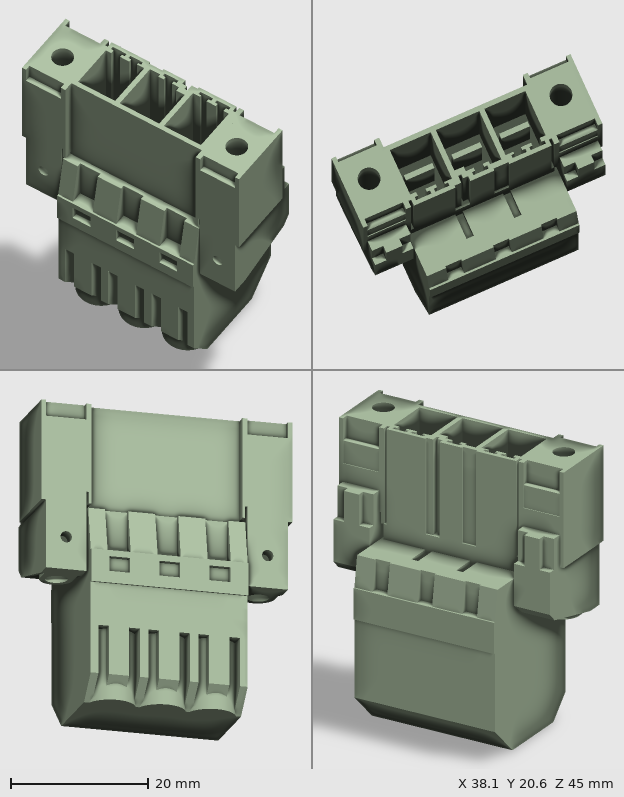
import cadquery as cq

TOTAL_HEIGHT = 45.0
TOTAL_LENGTH = 38.1
POLE_PITCH = 7.6
POLE_CENTRES = [-POLE_PITCH, 0, POLE_PITCH]
SIDES = [-1, 1]

PLUG_LENGTH = 23.85
PLUG_BACK = 7.5
PLUG_FRONT = -12.45
SHOULDER_Z = 27.25
LIP_TOP_Z = 29.1
LIP_TOP_FRONT = -11.2
SHOULDER_TOP_BACK = 6.75
BOTTOM_BACK = 2.55
BOTTOM_FRONT = -9.05
BACK_CHAMFER_Z = 4.8
FRONT_CHAMFER_Z = 3.5
BAND_BOTTOM_Z = 17.4
BAND_TOP_Z = 22.4
BAND_BACK = 7.85
BAND_FRONT = -12.8
FRONT_RECESS_WIDTH = 3.5
FRONT_RECESS_Y = -10.55
BACK_RECESS_WIDTH = 2.5
BACK_RECESS_Y = 6.5
WINDOW_WIDTH = 3.15
WINDOW_BOTTOM_Z = 19.2
WINDOW_TOP_Z = 21.45
WINDOW_DEPTH = 0.9
BARREL_RADIUS = 3.8
BARREL_Y = -7.7
SLOT_INNER = 1.55
SLOT_OUTER = 3.15
SLOT_TOP_Z = 10.9
GROOVE_WIDTH = 1.15
GROOVE_LENGTH = 4.0
GROOVE_DEPTH = 1.35

HEADER_BODY_LENGTH = 22.9
HEADER_BODY_FRONT = -9.75
EAR_FRONT = -11.35
EAR_BOTTOM_Z = 29.75
POCKET_FLOOR_Z = EAR_BOTTOM_Z
POCKET_FRONT = -9.0
COVER_BACK = -10.45
COVER_BOTTOM_Z = 31.5
COVER_TOP_Z = 42.55
CLEARANCE_INNER = 11.9

STEM_HALF = 0.7
HEAD_HALF = 1.2
HEAD_BACK = -0.65
HEAD_FRONT = -1.12
RAIL_FRONT = -1.6
OUTER_POCKET_LEFT = -10.8
OUTER_POCKET_RIGHT = -4.28
OUTER_LEFT_BACK = -1.75
OUTER_RIGHT_BACK = -1.45
LEFT_SLOT_X = -9.15
RIGHT_SLOT_X = -6.15
RIGHT_STEM_HALF = 0.65
RIGHT_HEAD_HALF = 1.12
MIDDLE_POCKET_HALF = 3.45
MIDDLE_STEP_LEFT = -1.65
MIDDLE_STEP_RIGHT = 2.0
MIDDLE_RIGHT_BACK = -2.4

NOTCH_BOTTOM_Z = EAR_BOTTOM_Z
END_NOTCH_X = 11.2
END_NOTCH_WIDTH = 0.45
END_NOTCH_DEPTH = 1.0
SHALLOW_DEPTH = 0.3
SHALLOW_LEFT = -4.25
SHALLOW_RIGHT = -1.85
KEY_RIGHT = 4.35
KEY_HOOK_LEFT = 2.8
KEY_HOOK_RIGHT = 3.3
KEY_DEPTH = 0.8
KEY_HOOK_DEPTH = 1.45

FLANGE_X = 15.3
FLANGE_WIDTH = 6.1
FLANGE_BOTTOM_Z = 19.35
FLANGE_FOOT_BACK = -8.75
FLANGE_SLOPE_BACK = 1.35
FLANGE_SLOPE_TOP_Z = 21.8
FLANGE_BACK = 2.7
FLANGE_BACK_BOTTOM_Z = 23.18
TAB_TOP_Z = 34.88
TONGUE_WIDTH = 2.55
TONGUE_LENGTH = 1.12
TONGUE_BOTTOM_Z = 29.92
STEM_LEDGE_Z = 37.8
STEM_LEDGE_BACK = -0.15
STEM_TOP_BACK = -1.12
STEM_STEP_Z = 41.4
STEM_STEP_RISE = 0.15
SCREW_Y = -6.35
SCREW_HOLE_RADIUS = 1.65
SCREW_BOSS_RADIUS = 2.5
CROSS_HOLE_RADIUS = 0.85
CROSS_HOLE_DEPTH = 2.25
CROSS_HOLE_Z = 24.3

BLADE_WIDTH = 4.55
BLADE_THICKNESS = 0.8
BLADE_Y = -5.7
BLADE_TOP_Z = 38.25


def block(x_range, y_range, z_range):
    """Axis-parallel box between the given limits."""
    (x0, x1), (y0, y1), (z0, z1) = x_range, y_range, z_range
    return cq.Workplane("XY").box(x1 - x0, y1 - y0, z1 - z0, centered=False).translate((x0, y0, z0))


def centred(middle, width):
    """Limits of a stretch of the given width about its middle."""
    return (middle - width / 2, middle + width / 2)


def side_profile(points, x_range):
    """Outline of (Y, Z) points extruded along X."""
    x0, x1 = x_range
    return cq.Workplane("YZ").polyline(points).close().extrude(x1 - x0).translate((x0, 0, 0))


def plan_profile(points, z_range):
    """Outline of (X, Y) points extruded along Z."""
    z0, z1 = z_range
    return cq.Workplane("XY").workplane(offset=z0).polyline(points).close().extrude(z1 - z0)


def make_plug():
    profile = [
        (BOTTOM_BACK, 0),
        (BOTTOM_FRONT, 0),
        (PLUG_FRONT, FRONT_CHAMFER_Z),
        (PLUG_FRONT, BAND_TOP_Z),
        (LIP_TOP_FRONT, LIP_TOP_Z),
        (HEADER_BODY_FRONT, LIP_TOP_Z),
        (HEADER_BODY_FRONT, SHOULDER_Z),
        (SHOULDER_TOP_BACK, SHOULDER_Z),
        (PLUG_BACK, BAND_TOP_Z),
        (PLUG_BACK, BACK_CHAMFER_Z),
    ]
    length = centred(0, PLUG_LENGTH)
    plug = side_profile(profile, length)
    plug = plug.union(block(length, (BAND_FRONT, BAND_BACK), (BAND_BOTTOM_Z, BAND_TOP_Z)))
    for x in POLE_CENTRES:
        plug = cut_grip_recesses(plug, x)
        plug = cut_wire_entry(plug, x)
    for side in SIDES:
        groove_x = centred(side * POLE_PITCH / 2, GROOVE_WIDTH)
        plug = plug.cut(block(groove_x, (0, GROOVE_LENGTH), (SHOULDER_Z - GROOVE_DEPTH, SHOULDER_Z)))
    return plug


def cut_grip_recesses(plug, x):
    """Recesses in both slanted faces above the band, and the window in the front of the band."""
    front_x = centred(x, FRONT_RECESS_WIDTH)
    back_x = centred(x, BACK_RECESS_WIDTH)
    window_x = centred(x, WINDOW_WIDTH)
    window_y = (BAND_FRONT, BAND_FRONT + WINDOW_DEPTH)
    plug = plug.cut(block(front_x, (BAND_FRONT, FRONT_RECESS_Y), (BAND_TOP_Z, LIP_TOP_Z)))
    plug = plug.cut(block(back_x, (BACK_RECESS_Y, BAND_BACK), (BAND_TOP_Z, SHOULDER_Z)))
    return plug.cut(block(window_x, window_y, (WINDOW_BOTTOM_Z, WINDOW_TOP_Z)))


def cut_wire_entry(plug, x):
    """Round wire barrel, laid bare by two upright slots in the front face."""
    for side in SIDES:
        slot_x = sorted([x + side * SLOT_INNER, x + side * SLOT_OUTER])
        plug = plug.cut(block(slot_x, (PLUG_FRONT, BARREL_Y), (0, SLOT_TOP_Z)))
    barrel = cq.Workplane("XY").center(x, BARREL_Y).circle(BARREL_RADIUS).extrude(SLOT_TOP_Z)
    return plug.union(barrel)


def outer_pocket():
    """Left contact pocket, with two T-shaped coding slots in its back wall."""
    left_head = centred(LEFT_SLOT_X, 2 * HEAD_HALF)
    left_stem = centred(LEFT_SLOT_X, 2 * STEM_HALF)
    right_head = centred(RIGHT_SLOT_X, 2 * RIGHT_HEAD_HALF)
    right_stem = centred(RIGHT_SLOT_X, 2 * RIGHT_STEM_HALF)
    outline = [
        (OUTER_POCKET_LEFT, POCKET_FRONT),
        (OUTER_POCKET_LEFT, OUTER_LEFT_BACK),
        (left_stem[0], OUTER_LEFT_BACK),
        (left_stem[0], HEAD_FRONT),
        (left_head[0], HEAD_FRONT),
        (left_head[0], HEAD_BACK),
        (left_head[1], HEAD_BACK),
        (left_head[1], HEAD_FRONT),
        (left_stem[1], HEAD_FRONT),
        (left_stem[1], RAIL_FRONT),
        (right_stem[0], RAIL_FRONT),
        (right_stem[0], HEAD_FRONT),
        (right_head[0], HEAD_FRONT),
        (right_head[0], HEAD_BACK),
        (right_head[1], HEAD_BACK),
        (right_head[1], HEAD_FRONT),
        (right_stem[1], HEAD_FRONT),
        (right_stem[1], OUTER_RIGHT_BACK),
        (OUTER_POCKET_RIGHT, OUTER_RIGHT_BACK),
        (OUTER_POCKET_RIGHT, POCKET_FRONT),
    ]
    return plan_profile(outline, (POCKET_FLOOR_Z, TOTAL_HEIGHT))


def middle_pocket():
    """Middle contact pocket, with one T-shaped coding slot and a stepped right corner."""
    outline = [
        (-MIDDLE_POCKET_HALF, POCKET_FRONT),
        (-MIDDLE_POCKET_HALF, HEAD_FRONT),
        (MIDDLE_STEP_LEFT, HEAD_FRONT),
        (MIDDLE_STEP_LEFT, RAIL_FRONT),
        (-STEM_HALF, RAIL_FRONT),
        (-STEM_HALF, HEAD_FRONT),
        (-HEAD_HALF, HEAD_FRONT),
        (-HEAD_HALF, HEAD_BACK),
        (HEAD_HALF, HEAD_BACK),
        (HEAD_HALF, HEAD_FRONT),
        (STEM_HALF, HEAD_FRONT),
        (STEM_HALF, RAIL_FRONT),
        (MIDDLE_STEP_RIGHT, RAIL_FRONT),
        (MIDDLE_STEP_RIGHT, MIDDLE_RIGHT_BACK),
        (MIDDLE_POCKET_HALF, MIDDLE_RIGHT_BACK),
        (MIDDLE_POCKET_HALF, POCKET_FRONT),
    ]
    return plan_profile(outline, (POCKET_FLOOR_Z, TOTAL_HEIGHT))


def key_notch():
    """Hooked keyway in the back face of the header."""
    outline = [
        (MIDDLE_STEP_RIGHT, 0),
        (MIDDLE_STEP_RIGHT, -KEY_DEPTH),
        (KEY_HOOK_LEFT, -KEY_DEPTH),
        (KEY_HOOK_LEFT, -KEY_HOOK_DEPTH),
        (KEY_HOOK_RIGHT, -KEY_HOOK_DEPTH),
        (KEY_HOOK_RIGHT, -SHALLOW_DEPTH),
        (KEY_RIGHT, -SHALLOW_DEPTH),
        (KEY_RIGHT, 0),
    ]
    return plan_profile(outline, (NOTCH_BOTTOM_Z, TOTAL_HEIGHT))


def flange_channel(side):
    """Room for one flange insert in an ear: open at the back, below, and at the top of the front."""
    width = centred(side * FLANGE_X, FLANGE_WIDTH)
    clearance = sorted([side * FLANGE_X, side * CLEARANCE_INNER])
    channel = block(width, (COVER_BACK, 0), (EAR_BOTTOM_Z, TOTAL_HEIGHT))
    channel = channel.union(block(width, (EAR_FRONT, 0), (EAR_BOTTOM_Z, COVER_BOTTOM_Z)))
    channel = channel.union(block(width, (EAR_FRONT, 0), (COVER_TOP_Z, TOTAL_HEIGHT)))
    return channel.union(block(clearance, (EAR_FRONT, 0), (EAR_BOTTOM_Z, COVER_BOTTOM_Z)))


def make_header():
    header = block(centred(0, HEADER_BODY_LENGTH), (HEADER_BODY_FRONT, 0), (SHOULDER_Z, TOTAL_HEIGHT))
    for side in SIDES:
        ear_x = sorted([side * HEADER_BODY_LENGTH / 2, side * TOTAL_LENGTH / 2])
        header = header.union(block(ear_x, (EAR_FRONT, 0), (EAR_BOTTOM_Z, TOTAL_HEIGHT)))
    for side in SIDES:
        end_notch_x = centred(side * END_NOTCH_X, END_NOTCH_WIDTH)
        header = header.cut(flange_channel(side))
        header = header.cut(block(end_notch_x, (-END_NOTCH_DEPTH, 0), (NOTCH_BOTTOM_Z, TOTAL_HEIGHT)))
    header = header.cut(outer_pocket()).cut(outer_pocket().mirror("YZ")).cut(middle_pocket())
    shallow_x = (SHALLOW_LEFT, SHALLOW_RIGHT)
    header = header.cut(block(shallow_x, (-SHALLOW_DEPTH, 0), (NOTCH_BOTTOM_Z, TOTAL_HEIGHT)))
    header = header.cut(key_notch())
    for x in POLE_CENTRES:
        header = header.cut(make_blade(x))
    return header


def make_blade(x):
    """Flat contact standing in a pocket, held in a matching slot through the pocket floor."""
    return block(centred(x, BLADE_WIDTH), centred(BLADE_Y, BLADE_THICKNESS), (SHOULDER_Z, BLADE_TOP_Z))


def make_flange(side):
    """Flange insert: a foot below the ear, a tab behind it and a stem that fills the ear."""
    x = side * FLANGE_X
    width = centred(x, FLANGE_WIDTH)
    step_crown = ((STEM_LEDGE_BACK + STEM_TOP_BACK) / 2, STEM_STEP_Z + STEM_STEP_RISE)
    lower_profile = [
        (EAR_FRONT, COVER_BOTTOM_Z),
        (EAR_FRONT, FLANGE_BOTTOM_Z),
        (FLANGE_FOOT_BACK, FLANGE_BOTTOM_Z),
        (FLANGE_SLOPE_BACK, FLANGE_SLOPE_TOP_Z),
        (FLANGE_BACK, FLANGE_BACK_BOTTOM_Z),
        (FLANGE_BACK, TAB_TOP_Z),
        (0, TAB_TOP_Z),
        (0, STEM_LEDGE_Z),
        (STEM_LEDGE_BACK, STEM_LEDGE_Z),
        (STEM_LEDGE_BACK, STEM_STEP_Z),
    ]
    profile = cq.Workplane("YZ").polyline(lower_profile)
    profile = profile.threePointArc(step_crown, (STEM_TOP_BACK, STEM_STEP_Z))
    profile = profile.lineTo(STEM_TOP_BACK, TOTAL_HEIGHT).lineTo(COVER_BACK, TOTAL_HEIGHT)
    profile = profile.lineTo(COVER_BACK, COVER_BOTTOM_Z).close()
    flange = profile.extrude(FLANGE_WIDTH).translate((width[0], 0, 0))

    tongue_y = (FLANGE_BACK - TONGUE_LENGTH, FLANGE_BACK)
    tab_end = block(width, tongue_y, (TONGUE_BOTTOM_Z, TAB_TOP_Z))
    tongue = block(centred(x, TONGUE_WIDTH), tongue_y, (TONGUE_BOTTOM_Z, TAB_TOP_Z))
    flange = flange.cut(tab_end.cut(tongue))

    boss_height = FLANGE_BACK_BOTTOM_Z - FLANGE_BOTTOM_Z
    boss = cq.Workplane("XY").center(x, SCREW_Y).circle(SCREW_BOSS_RADIUS).extrude(boss_height)
    boss_front = block(centred(x, 2 * SCREW_BOSS_RADIUS), (EAR_FRONT, SCREW_Y), (0, boss_height))
    flange = flange.union(boss.union(boss_front).translate((0, 0, FLANGE_BOTTOM_Z)))

    screw_hole = cq.Workplane("XY").center(x, SCREW_Y).circle(SCREW_HOLE_RADIUS).extrude(TOTAL_HEIGHT)
    cross_hole = cq.Workplane("XZ").center(x, CROSS_HOLE_Z).circle(CROSS_HOLE_RADIUS)
    cross_hole = cross_hole.extrude(-CROSS_HOLE_DEPTH).translate((0, EAR_FRONT, 0))
    return flange.cut(screw_hole).cut(cross_hole)


plug = make_plug()
header = make_header()
flanges = [make_flange(side) for side in SIDES]
blades = [make_blade(x) for x in POLE_CENTRES]

bodies = [plug, header, *flanges, *blades]
result = cq.Compound.makeCompound([body.val() for body in bodies])